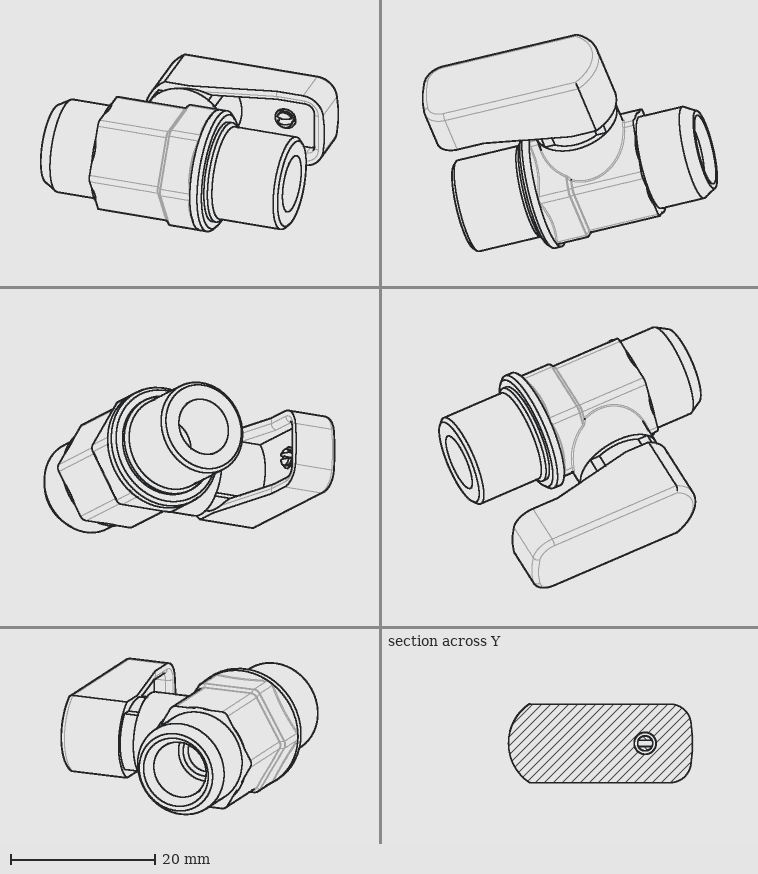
import cadquery as cq
import math


NIPPLE_RADIUS = 6.55
NIPPLE_CHAMFER_LENGTH = 1.7
NIPPLE_CHAMFER_ANGLE = 30
FLARE_RADIUS = 7.2
FLARE_LENGTH = 0.2

SMALL_HEX_START = 7.98
SMALL_HEX_WIDTH = 14.0
LARGE_HEX_WIDTH = 14.98
HEX_CORNER_RADIUS = 1.0
HEX_STEP_START = 18.02
HEX_STEP_END = HEX_STEP_START + (LARGE_HEX_WIDTH - SMALL_HEX_WIDTH) / 2
CASTING_FILLET = 0.2

COLLAR_START = 22.95
COLLAR_END = 24.5
COLLAR_RADIUS = 8.5
COLLAR_CHAMFER = 0.5
COLLAR_CONE_BASE_RADIUS = 6.3
COLLAR_CONE_ANGLE = 60
COLLAR_CONE_LENGTH = (COLLAR_RADIUS - COLLAR_CONE_BASE_RADIUS) / math.tan(math.radians(COLLAR_CONE_ANGLE))

STEM_X = 15.5
BOSS_RADIUS = 6.02
BOSS_TOP = 10.57

PORT_MOUTH_RADIUS = 4.9
PORT_MOUTH_DEPTH = 1.4
PORT_RADIUS = 3.95
PORT_DEPTH = 10.0
SEAT_CONE_RADIUS = 3.25
SEAT_RADIUS = 2.73
SEAT_DEPTH = PORT_DEPTH + SEAT_CONE_RADIUS - SEAT_RADIUS

TAIL_END = 35.0
TAIL_RADIUS = 6.5
TAIL_SHOULDER_RADIUS = 7.0
TAIL_SHOULDER_END = 25.5
TAIL_CHAMFER = 0.5
TAIL_SHOULDER_CHAMFER = TAIL_SHOULDER_RADIUS - TAIL_RADIUS

HANDLE_TOP = 21.5
HANDLE_HALF_WIDTH = 5.5
HANDLE_BACK_RADIUS = 6.58
HANDLE_END_RADIUS = 19.05
HANDLE_END = STEM_X + HANDLE_END_RADIUS
HANDLE_CORNER_RADIUS = 3.0
HANDLE_TOP_FILLET = 0.7
HANDLE_LOW_EDGE = 12.55
HANDLE_HIGH_EDGE = 15.05
HANDLE_SLOPE_END = 27.48
HANDLE_WALL = 1.58
HANDLE_END_WALL = 1.75
CAVITY_FLOOR = 17.5
CAVITY_CORNER_RADIUS = 1.25
CAVITY_RIM_FILLET = 0.8

HUB_RADIUS = 5.05
HUB_LUG_HALF_WIDTH = 4.02

PIN_X = 27.93
PIN_HOLE_RADIUS = 1.5
PIN_HOLE_DEPTH = 2.1
PIN_SHANK_RADIUS = 1.05
PIN_BARB_RADIUS = 1.15
PIN_BARB_LAND = 0.5
PIN_TIP_RADIUS = 0.2
PIN_TIP_LENGTH = 0.7
PIN_SLOT_WIDTH = 0.85
PIN_SLOT_DEPTH = 2.45


def turned(points):
    """Solid of revolution about the X axis from (x, radius) points."""
    return cq.Workplane("XY").polyline(points).close().revolve(360, (0, 0, 0), (1, 0, 0))


def along_y(x, bottom):
    """Workplane at height Y = bottom, facing +Y, with its origin at the given x."""
    return cq.Workplane(cq.Plane(origin=(x, bottom, 0), xDir=(1, 0, 0), normal=(0, 1, 0)))


def hexagon(width):
    """Rounded hexagon with two flats facing up and down."""
    corner_distance = width / 2 / math.cos(math.radians(30))
    outline = cq.Sketch().regularPolygon(corner_distance, 6, angle=30)
    return outline.vertices().fillet(HEX_CORNER_RADIUS)


def hex_prism(start, end, width):
    return cq.Workplane("YZ", origin=(start, 0, 0)).placeSketch(hexagon(width)).extrude(end - start)


def edges_between(part, start, end):
    """Edges of the part that lie wholly between two X positions."""
    return [
        edge for edge in part.edges().vals()
        if start < edge.BoundingBox().xmin and edge.BoundingBox().xmax < end
    ]


def make_hexagons():
    tolerance = 0.05
    small_end = hexagon(SMALL_HEX_WIDTH)
    large_end = hexagon(LARGE_HEX_WIDTH).moved(cq.Location(cq.Vector(0, 0, HEX_STEP_END - HEX_STEP_START)))
    step = cq.Workplane("YZ", origin=(HEX_STEP_START, 0, 0)).placeSketch(small_end, large_end).loft()
    hexagons = (
        hex_prism(SMALL_HEX_START, HEX_STEP_START, SMALL_HEX_WIDTH)
        .union(step)
        .union(hex_prism(HEX_STEP_END, COLLAR_START, LARGE_HEX_WIDTH))
    )
    for step_x in (HEX_STEP_START, HEX_STEP_END):
        step_edges = edges_between(hexagons, step_x - tolerance, step_x + tolerance)
        hexagons = hexagons.newObject(step_edges).fillet(CASTING_FILLET)
    return hexagons


def add_collar(part):
    cone_start = COLLAR_START - COLLAR_CONE_LENGTH
    collar = turned([
        (cone_start, 0),
        (cone_start, COLLAR_CONE_BASE_RADIUS),
        (COLLAR_START, COLLAR_RADIUS),
        (COLLAR_END - COLLAR_CHAMFER, COLLAR_RADIUS),
        (COLLAR_END, COLLAR_RADIUS - COLLAR_CHAMFER),
        (COLLAR_END, 0),
    ]).rotate((0, 0, 0), (1, 0, 0), -90)
    part = part.union(collar)
    blend_edges = [edge for edge in part.edges().vals() if edge.geomType() == "HYPERBOLA"]
    return part.newObject(blend_edges).fillet(CASTING_FILLET)


def add_boss(part):
    boss = along_y(STEM_X, 0).circle(BOSS_RADIUS).extrude(BOSS_TOP)
    part = part.union(boss)
    boss_wall = [
        face for face in part.faces("%CYLINDER").vals()
        if math.isclose(face.BoundingBox().ymax, BOSS_TOP, abs_tol=0.05)
    ]
    root_edges = [
        edge for face in boss_wall for edge in face.Edges()
        if edge.BoundingBox().ymax < BOSS_TOP - CASTING_FILLET
    ]
    return part.newObject(root_edges).fillet(CASTING_FILLET)


def make_nipple():
    chamfer_height = NIPPLE_CHAMFER_LENGTH * math.tan(math.radians(NIPPLE_CHAMFER_ANGLE))
    return turned([
        (0, 0),
        (0, NIPPLE_RADIUS - chamfer_height),
        (NIPPLE_CHAMFER_LENGTH, NIPPLE_RADIUS),
        (SMALL_HEX_START, NIPPLE_RADIUS),
        (SMALL_HEX_START, FLARE_RADIUS),
        (SMALL_HEX_START + FLARE_LENGTH, SMALL_HEX_WIDTH / 2),
        (SMALL_HEX_START + FLARE_LENGTH, 0),
    ])


def make_port():
    return turned([
        (0, 0),
        (0, PORT_MOUTH_RADIUS),
        (PORT_MOUTH_DEPTH, PORT_RADIUS),
        (PORT_DEPTH, PORT_RADIUS),
        (PORT_DEPTH, SEAT_CONE_RADIUS),
        (SEAT_DEPTH, SEAT_RADIUS),
        (SEAT_DEPTH, 0),
    ])


def make_body():
    casting = add_boss(add_collar(make_hexagons()))
    return casting.union(make_nipple()).cut(make_port())


def make_tail():
    return turned([
        (COLLAR_END, PORT_RADIUS),
        (COLLAR_END, TAIL_SHOULDER_RADIUS),
        (TAIL_SHOULDER_END - TAIL_SHOULDER_CHAMFER, TAIL_SHOULDER_RADIUS),
        (TAIL_SHOULDER_END, TAIL_RADIUS),
        (TAIL_END - TAIL_CHAMFER, TAIL_RADIUS),
        (TAIL_END, TAIL_RADIUS - TAIL_CHAMFER),
        (TAIL_END, PORT_RADIUS),
    ])


def make_lever():
    back_x = STEM_X - math.sqrt(HANDLE_BACK_RADIUS**2 - HANDLE_HALF_WIDTH**2)
    end_x = STEM_X + math.sqrt(HANDLE_END_RADIUS**2 - HANDLE_HALF_WIDTH**2)
    lever = (
        along_y(0, HANDLE_LOW_EDGE)
        .moveTo(back_x, HANDLE_HALF_WIDTH)
        .threePointArc((STEM_X - HANDLE_BACK_RADIUS, 0), (back_x, -HANDLE_HALF_WIDTH))
        .lineTo(end_x, -HANDLE_HALF_WIDTH)
        .threePointArc((HANDLE_END, 0), (end_x, HANDLE_HALF_WIDTH))
        .close()
        .extrude(HANDLE_TOP - HANDLE_LOW_EDGE)
    )
    lever = lever.edges("|Y").edges(">X").fillet(HANDLE_CORNER_RADIUS)
    lever = lever.faces(">Y").edges().fillet(HANDLE_TOP_FILLET)
    clearance = (
        cq.Workplane("XY")
        .moveTo(STEM_X, HANDLE_LOW_EDGE)
        .lineTo(HANDLE_SLOPE_END, HANDLE_HIGH_EDGE)
        .lineTo(HANDLE_END, HANDLE_HIGH_EDGE)
        .lineTo(HANDLE_END, HANDLE_LOW_EDGE)
        .close()
        .extrude(HANDLE_HALF_WIDTH, both=True)
    )
    return lever.cut(clearance)


def cut_cavity(lever):
    margin = 0.05
    half_width = HANDLE_HALF_WIDTH - HANDLE_WALL
    end_x = HANDLE_END - HANDLE_END_WALL
    cavity = (
        along_y((STEM_X + end_x) / 2, HANDLE_LOW_EDGE)
        .rect(end_x - STEM_X, 2 * half_width)
        .extrude(CAVITY_FLOOR - HANDLE_LOW_EDGE)
        .edges("|Y and >X")
        .fillet(CAVITY_CORNER_RADIUS)
    )
    hollow = lever.cut(cavity)
    rim = cq.selectors.BoxSelector(
        (STEM_X + margin, HANDLE_LOW_EDGE, -half_width - margin),
        (end_x + margin, HANDLE_HIGH_EDGE + margin, half_width + margin),
    )
    return hollow.edges(rim).fillet(CAVITY_RIM_FILLET)


def make_hub():
    height = CAVITY_FLOOR - BOSS_TOP
    core = along_y(STEM_X, BOSS_TOP).circle(HUB_RADIUS).extrude(height)
    lugs = along_y(STEM_X, BOSS_TOP).circle(BOSS_RADIUS).extrude(height)
    lug_limits = along_y(STEM_X, BOSS_TOP).rect(2 * BOSS_RADIUS, 2 * HUB_LUG_HALF_WIDTH).extrude(height)
    return core.union(lugs.intersect(lug_limits))


def make_handle():
    pin_hole = along_y(PIN_X, CAVITY_FLOOR).circle(PIN_HOLE_RADIUS).extrude(PIN_HOLE_DEPTH)
    return cut_cavity(make_lever()).union(make_hub()).cut(pin_hole)


def make_snap_pin():
    tip_y = CAVITY_FLOOR - PIN_BARB_LAND - PIN_TIP_LENGTH
    pin = (
        cq.Workplane("XY", origin=(PIN_X, 0, 0))
        .moveTo(0, tip_y)
        .lineTo(PIN_TIP_RADIUS, tip_y)
        .lineTo(PIN_BARB_RADIUS, CAVITY_FLOOR - PIN_BARB_LAND)
        .lineTo(PIN_BARB_RADIUS, CAVITY_FLOOR)
        .lineTo(PIN_SHANK_RADIUS, CAVITY_FLOOR)
        .lineTo(PIN_SHANK_RADIUS, CAVITY_FLOOR + PIN_HOLE_DEPTH)
        .lineTo(0, CAVITY_FLOOR + PIN_HOLE_DEPTH)
        .close()
        .revolve(360, (0, 0, 0), (0, 1, 0))
    )
    slot = along_y(PIN_X, tip_y).rect(2 * PIN_BARB_RADIUS, PIN_SLOT_WIDTH).extrude(PIN_SLOT_DEPTH)
    return pin.cut(slot)


body = make_body()
tail = make_tail()
handle = make_handle()
snap_pin = make_snap_pin()

result = cq.Compound.makeCompound([body.val(), tail.val(), handle.val(), snap_pin.val()])